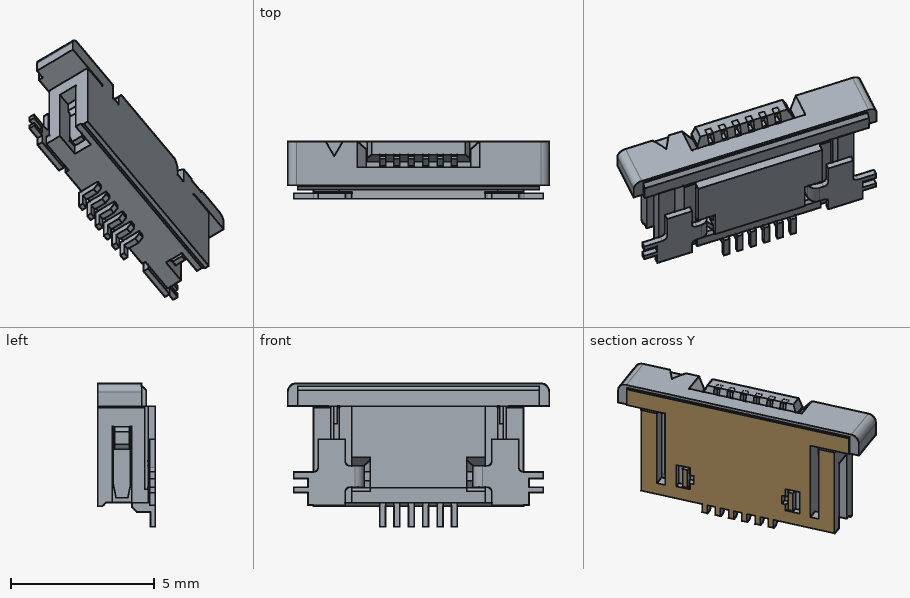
import cadquery as cq

depth = 2.0
height = 5.0

cover_length = 9.1
cover_bottom = 4.2
cover_front = 0.47
cover_corner_radius = 0.3
ridge_length = 8.4
ridge_front = 0.31
ridge_top = 4.89
ridge_chamfer = 0.14

mouth_half_top = 2.13
mouth_half_bottom = 1.82
mouth_front = 1.09
mouth_slope_bottom = 4.69
mouth_corner_depth = 0.27

mark_x = -2.93
mark_half_width = 0.3
mark_length = 0.52
mark_depth = 0.09

tongue_half_top = 1.63
tongue_half_base = 1.77
tongue_front_top = 1.54
tongue_front_base = 1.29
tongue_end_slope_bottom = 4.68
tongue_front_slope_bottom = 4.28

housing_half_width = 3.66
housing_bottom = 0.85
middle_half_width = 2.75
middle_front = 0.25
block_half_width = 2.32
sill_front = 0.11
sill_top = 1.36
wing_top = 4.15
wing_front = 0.36
wing_step_z = 1.31
lip_bottom = 0.72
lip_thickness = 0.16
lip_chamfer = housing_bottom - lip_bottom

slot_front = 0.82
slot_back = 1.49
slot_top = 3.485
groove_outer = 3.05

arm_outer = 3.13
arm_inner = 2.94
arm_root_inner = 2.82
arm_root_bottom = 3.59
arm_front = 0.86
arm_root_front = 0.91
arm_back = 1.46
arm_bottom = 1.01
arm_taper_start = 1.46
arm_taper = 0.09
catch_front = 0.9
catch_back = 1.41
catch_top = 3.485
catch_bottom = 2.69
catch_slope = 0.18
catch_reach = 0.15

window_inner = 1.67
window_bottom = 1.25
window_top = 2.43
window_floor_y = 0.64
window_floor_top = 2.09
ramp_front = 0.2
ramp_width = 0.26
ramp_gap_bottom = 1.6
ramp_gap_top = 1.91

tab_thickness = 0.2
tab_bottom = 0.755
tab_top = 3.06
tab_inner = 2.55
tab_outer_top = 3.485
tab_outer = 3.85
finger_tip = 4.34
upper_finger = (1.68, 1.91)
lower_finger = (1.19, 1.38)
neck_bottom = 1.38
neck_top = 2.12
tab_fillet = 0.17
bend_start = 2.21
bend_radius = 0.32

pin_count = 6
pin_pitch = 0.5
pin_width = 0.21
pin_thickness = 0.17
pin_back = 0.81
pin_foot_z = 0.52
pin_chamfer = 0.17

contact_slot_back = 1.77
contact_slot_top = 4.96
contact_front = 1.16
contact_crest = 1.4
contact_top = 4.55
contact_step_y = 1.47
contact_step_height = 0.09


def box(x0, x1, y0, y1, z0, z1):
    return cq.Workplane("XY").box(x1 - x0, y1 - y0, z1 - z0, centered=False).translate((x0, y0, z0))


def extrude_along_x(points, x0, x1):
    """Prism with a (Y, Z) outline between two X positions."""
    return cq.Workplane("YZ").polyline(points).close().extrude(x1 - x0).translate((x0, 0, 0))


def mirrored(left_part):
    return left_part.union(left_part.mirror("YZ"))


def pin_positions():
    return [(i - (pin_count - 1) / 2) * pin_pitch for i in range(pin_count)]


def make_cover():
    half = cover_length / 2
    cover = box(-half, half, cover_front, depth, cover_bottom, height)
    cover = cover.edges("|Y and >Z").fillet(cover_corner_radius)
    ridge = box(-ridge_length / 2, ridge_length / 2, ridge_front, cover_front, cover_bottom, ridge_top)
    ridge = ridge.edges("<Y and >Z").chamfer(ridge_chamfer)
    cover = cover.union(ridge)

    mouth_outline = [
        (-mouth_half_top, height),
        (-mouth_half_bottom, mouth_slope_bottom),
        (-mouth_half_bottom, cover_bottom),
        (mouth_half_bottom, cover_bottom),
        (mouth_half_bottom, mouth_slope_bottom),
        (mouth_half_top, height),
    ]
    mouth = cq.Workplane("XZ").polyline(mouth_outline).close()
    mouth = mouth.extrude(-(depth - mouth_front)).translate((0, mouth_front, 0))
    corner_outline = [
        (-mouth_half_top, depth),
        (-mouth_half_bottom, depth),
        (-mouth_half_bottom, depth - mouth_corner_depth),
    ]
    corner = cq.Workplane("XY").workplane(offset=cover_bottom).polyline(corner_outline).close()
    corner = corner.extrude(height - cover_bottom)

    mark_outline = [
        (mark_x - mark_half_width, depth),
        (mark_x + mark_half_width, depth),
        (mark_x, depth - mark_length),
    ]
    mark = cq.Workplane("XY").workplane(offset=height - mark_depth).polyline(mark_outline).close()
    mark = mark.extrude(mark_depth)
    return cover.cut(mouth).cut(mirrored(corner)).cut(mark)


def make_housing():
    middle = box(-middle_half_width, middle_half_width, middle_front, depth, housing_bottom, cover_bottom)
    block = box(-block_half_width, block_half_width, 0, middle_front, sill_top, cover_bottom)
    sill = box(-block_half_width, block_half_width, sill_front, middle_front, housing_bottom, sill_top)
    wing_outline = [
        (middle_front, housing_bottom),
        (middle_front, wing_step_z),
        (wing_front, wing_step_z),
        (wing_front, wing_top),
        (depth, wing_top),
        (depth, housing_bottom),
    ]
    wing = extrude_along_x(wing_outline, -housing_half_width, -middle_half_width)
    slot = box(-housing_half_width, -middle_half_width, slot_front, slot_back, housing_bottom, slot_top)
    channel = box(-arm_outer, -middle_half_width, slot_front, slot_back, slot_top, wing_top)
    groove = box(-groove_outer, -middle_half_width, middle_front, slot_front, wing_step_z, wing_top)
    wing = wing.cut(slot).cut(channel).cut(groove)

    lip_outline = [
        (depth, housing_bottom),
        (depth, lip_bottom),
        (depth - lip_thickness, lip_bottom),
        (depth - lip_thickness - lip_chamfer, housing_bottom),
    ]
    lip = extrude_along_x(lip_outline, -housing_half_width, housing_half_width)

    window_outline = [
        (0, window_bottom),
        (0, window_top),
        (window_floor_y, window_floor_top),
        (window_floor_y, sill_top),
        (sill_front + sill_top - window_bottom, sill_top),
        (sill_front, window_bottom),
    ]
    window = extrude_along_x(window_outline, -block_half_width, -window_inner)
    ramp_outline = [
        (-window_inner, ramp_front),
        (-window_inner, window_floor_y),
        (-window_inner - ramp_width, window_floor_y),
    ]
    ramp = cq.Workplane("XY").polyline(ramp_outline).close().extrude(window_top)
    gap = box(-block_half_width, -window_inner, 0, window_floor_y, ramp_gap_bottom, ramp_gap_top)
    window = window.cut(ramp.cut(gap))
    return middle.union(block).union(sill).union(mirrored(wing)).union(lip).cut(mirrored(window))


def make_tongue():
    """Cable tongue: straight foot, then sloping front and ends, flush at the back."""
    side = [
        (depth, cover_bottom),
        (depth, height),
        (tongue_front_top, height),
        (tongue_front_base, tongue_front_slope_bottom),
        (tongue_front_base, cover_bottom),
    ]
    face = [
        (-tongue_half_base, cover_bottom),
        (-tongue_half_base, tongue_end_slope_bottom),
        (-tongue_half_top, height),
        (tongue_half_top, height),
        (tongue_half_base, tongue_end_slope_bottom),
        (tongue_half_base, cover_bottom),
    ]
    face_prism = cq.Workplane("XZ").polyline(face).close().extrude(-depth)
    tongue = extrude_along_x(side, -tongue_half_base, tongue_half_base).intersect(face_prism)
    contact_outline = [
        (contact_front, cover_bottom),
        (contact_crest, contact_top),
        (contact_step_y, contact_top),
        (contact_step_y, contact_top - contact_step_height),
        (contact_slot_back, contact_top - contact_step_height),
        (contact_slot_back, cover_bottom),
    ]
    for x in pin_positions():
        left = x - pin_width / 2
        right = x + pin_width / 2
        slot = box(left, right, contact_front, contact_slot_back, cover_bottom, contact_slot_top)
        contact = extrude_along_x(contact_outline, left, right)
        tongue = tongue.cut(slot).union(contact)
    return tongue


def make_left_arm():
    outline = [
        (arm_front, cover_bottom),
        (arm_front, arm_taper_start),
        (arm_front + arm_taper, arm_bottom),
        (arm_back - arm_taper, arm_bottom),
        (arm_back, arm_taper_start),
        (arm_back, cover_bottom),
    ]
    arm = extrude_along_x(outline, -arm_outer, -arm_inner)
    root = box(-arm_inner, -arm_root_inner, arm_root_front, arm_back, arm_root_bottom, cover_bottom)
    catch_outline = [
        (-arm_outer, catch_top),
        (-arm_outer - catch_reach, catch_top - catch_slope),
        (-arm_outer - catch_reach, catch_bottom + catch_slope),
        (-arm_outer, catch_bottom),
    ]
    catch = cq.Workplane("XZ").polyline(catch_outline).close().extrude(catch_front - catch_back)
    return arm.union(root).union(catch.translate((0, catch_front, 0)))


def make_left_tab():
    def plate(x0, x1, z0, z1):
        return box(x0, x1, 0, tab_thickness, z0, z1)

    tab = plate(-tab_outer_top, -tab_inner, tab_bottom, tab_top)
    tab = tab.union(plate(-tab_outer, -tab_outer_top, tab_bottom, upper_finger[1]))
    for finger in (lower_finger, upper_finger):
        tab = tab.union(plate(-finger_tip, -tab_outer, *finger))
    tab = tab.union(plate(-tab_inner, -bend_start, neck_bottom, neck_top))

    def fillet_corner(body, x, z, radius):
        half = radius / 2
        picker = cq.selectors.BoxSelector((x - half, -0.09, z - half), (x + half, depth, z + half))
        return body.edges("|Y").edges(picker).fillet(radius)

    tab = fillet_corner(tab, -tab_outer_top, upper_finger[1], tab_fillet)
    tab = fillet_corner(tab, -tab_inner, neck_top, tab_fillet)
    tab = fillet_corner(tab, -tab_inner, neck_bottom, tab_fillet)

    hook_x = bend_radius - bend_start
    hook = (
        cq.Workplane("XY")
        .workplane(offset=neck_bottom)
        .moveTo(-bend_start, 0)
        .radiusArc((hook_x, bend_radius), -bend_radius)
        .lineTo(hook_x, window_floor_y)
        .lineTo(hook_x - tab_thickness, window_floor_y)
        .lineTo(hook_x - tab_thickness, bend_radius)
        .radiusArc((-bend_start, tab_thickness), bend_radius - tab_thickness)
        .close()
        .extrude(neck_top - neck_bottom)
    )
    return tab.union(hook)


def make_pin(x):
    outline = [
        (0, housing_bottom),
        (0, 0),
        (pin_thickness, 0),
        (pin_thickness, pin_foot_z),
        (pin_back - pin_chamfer, pin_foot_z),
        (pin_back, pin_foot_z + pin_chamfer),
        (pin_back, housing_bottom),
    ]
    return extrude_along_x(outline, x - pin_width / 2, x + pin_width / 2)


result = make_housing().union(make_cover()).union(make_tongue())
result = result.union(mirrored(make_left_arm())).union(mirrored(make_left_tab()))
for pin_x in pin_positions():
    result = result.union(make_pin(pin_x))